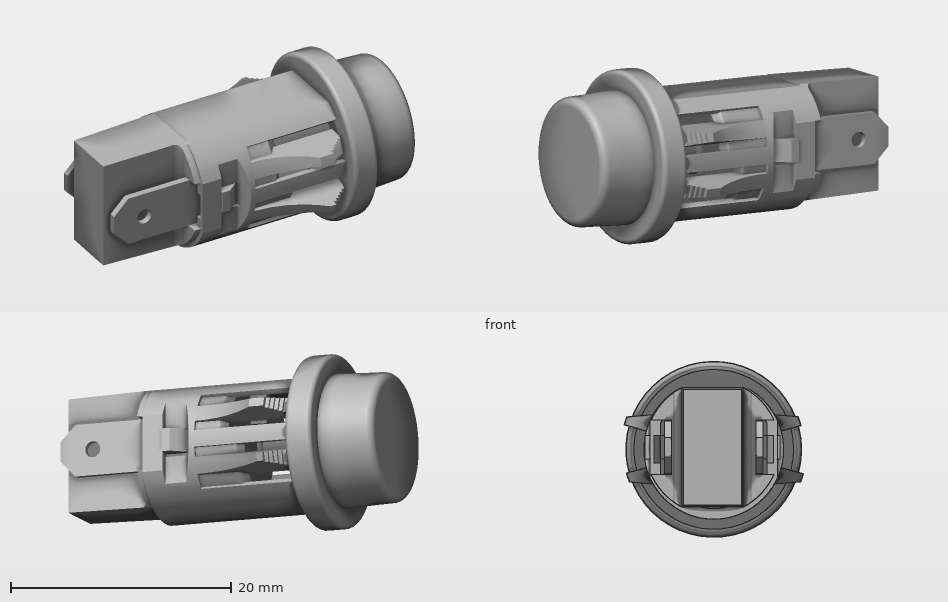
import cadquery as cq
import math


LENGTH = 31.15
TIER_REAR_Y = 7.9
HOUSING_REAR_Y = 8.57
SLOT_REAR_Y = 13.87
FLANGE_REAR_Y = 23.35
LENS_SEAT_Y = 24.62
BEZEL_FRONT_Y = 25.9

HOUSING_R = 6.35
HOUSING_TOP_Z = 5.48
TOP_WALL = 0.53
BORE_TOP_Z = HOUSING_TOP_Z - TOP_WALL
FRONT_BORE_R = 5.83
REAR_BORE_R = 5.4
REAR_BORE_HALF_X = 4.83
REAR_FLAT_X = 5.8
HOUSING_FLANGE_R = 7.25
POCKET_FLOOR_X = 5.15
POCKET_REAR_Y = 10.55
POCKET_FLOOR_END_Y = 12.62
POCKET_FRONT_Y = 13.35
WINDOW_FRONT_Y = 12.78
WINDOW_HALF_Z = 1.25
WINDOW_OUTER_X = 5.45
LEAD_IN_DEPTH = 0.6
LEAD_IN_LENGTH = 0.95

RIB_HALF_Z = 0.78
SLOT_EDGE_Z = 4.35
SLOT_ANGLE = 45.0
FIN_INNER_R = REAR_BORE_R
FIN_SECTION = [(4.05, 3.27), (9.35, 2.85), (9.35, 2.55), (5.2, 1.4), (4.05, 1.03)]
FIN_FRONT_Y = 23.12
STEP_START_Y = 21.28
STEP_RISE = 0.35
FIRST_STEP_RUN = 0.45
STEP_RUN = 0.28
STEP_COUNT = 5
LONG_FIN = {"tip_r": 8.45, "tip_rear_y": 20.7, "mid": (6.98, 17.57)}
SHORT_FIN = {"tip_r": 8.23, "tip_rear_y": 19.85, "mid": (6.9, 17.2)}

BEZEL_R = 16.0 / 2
BEZEL_FILLET = 0.45
LENS_BASE_R = 12.37 / 2
LENS_FACE_R = 5.95
LENS_FILLET = 0.75

BASE_X = -0.11
BASE_Z = 0.2
TIER_R = 6.1
BLOCK_HALF_X = 5.65 / 2
BLOCK_END_HALF_X = 2.65
BLOCK_HALF_Z = 5.42
BLOCK_END_HALF_Z = 5.27
BLOCK_FILLET = 0.7
LOW_STEM_Y = 16.85
HIGH_STEM_Y = 18.4
STEM_CHAMFER = 0.62
KEY_R = 6.05
NOTCH_FLOOR_X = 3.85
NOTCH_HALF_Z = 2.45
NOTCH_FRONT_Y = 13.7
SNAP_HALF_Z = 1.05
SNAP_TIP_X = 6.15
SNAP_TIP_FRONT_Y = 11.35

TERMINAL_THICKNESS = 0.62
TERMINAL_OUTER_X = NOTCH_FLOOR_X + TERMINAL_THICKNESS
TERMINAL_HALF_Z = 2.4
TERMINAL_TIP_CHAMFER = 1.5
TERMINAL_HOLE_R = 1.45 / 2
TERMINAL_HOLE_Y = 3.18

LAMP_R = 1.87
LAMP_FOOT_R = 1.7
LAMP_COLLAR_R = 2.25
LAMP_COLLAR_REAR_R = 2.15
LAMP_SOCKET_R = 2.3
LAMP_COLLAR_REAR_Y = 18.0
LAMP_COLLAR_MID_Y = 18.38
LAMP_COLLAR_FRONT_Y = 18.82

REACH = 9.35
SIDES = (-1, 1)
QUADRANTS = [(sx, sz) for sx in SIDES for sz in SIDES]


def box(x0, x1, y0, y1, z0, z1):
    """Box between two opposite corners, given in any order."""
    size = (abs(x1 - x0), abs(y1 - y0), abs(z1 - z0))
    corner = (min(x0, x1), min(y0, y1), min(z0, z1))
    return cq.Workplane("XY").box(*size, centered=False).translate(corner)


def cylinder_y(radius, y0, y1, x=0.0, z=0.0):
    return cq.Workplane("XZ", origin=(x, y0, z)).circle(radius).extrude(y0 - y1)


def prism_y(points, y0, y1):
    """Prism along Y with an (x, z) outline."""
    return cq.Workplane("XZ", origin=(0, y0, 0)).polyline(points).close().extrude(y0 - y1)


def prism_z(points, z0, z1):
    """Prism along Z with an (x, y) outline."""
    return cq.Workplane("XY", origin=(0, 0, z0)).polyline(points).close().extrude(z1 - z0)


def to_quadrant(shape, side_x, side_z):
    """Mirror a shape made for +X, +Z into another quadrant."""
    if side_x < 0:
        shape = shape.mirror("YZ")
    if side_z < 0:
        shape = shape.mirror("XY")
    return shape


def below_bore_top(shape):
    """Trim a shape to the flat ceiling of the housing bore."""
    return shape.intersect(box(-REACH, REACH, 0, LENGTH, -REACH, BORE_TOP_Z))


def rear_core(y0, y1):
    """Round core with flat sides that fills the rear bore."""
    core = cylinder_y(REAR_BORE_R, y0, y1)
    core = core.intersect(box(-REAR_BORE_HALF_X, REAR_BORE_HALF_X, y0, y1, -REACH, REACH))
    return below_bore_top(core)


def latch_slot():
    edge_x = math.sqrt(HOUSING_R ** 2 - SLOT_EDGE_Z ** 2)
    inner_x = FIN_SECTION[0][0]
    rise = math.tan(math.radians(SLOT_ANGLE))
    outline = [
        (inner_x, RIB_HALF_Z),
        (REACH, RIB_HALF_Z),
        (REACH, SLOT_EDGE_Z + (REACH - edge_x) * rise),
        (inner_x, SLOT_EDGE_Z + (inner_x - edge_x) * rise),
    ]
    return prism_y(outline, SLOT_REAR_Y, FLANGE_REAR_Y)


def latch_fin(tip_r, tip_rear_y, mid):
    """Flared fin with a stepped front edge, cut from a body of revolution."""
    profile = (
        cq.Workplane("XY")
        .moveTo(FIN_INNER_R, SLOT_REAR_Y)
        .lineTo(HOUSING_R, SLOT_REAR_Y)
        .threePointArc(mid, (tip_r, tip_rear_y))
        .lineTo(tip_r, STEP_START_Y)
    )
    for step in range(STEP_COUNT):
        radius = tip_r - FIRST_STEP_RUN - step * STEP_RUN
        y = STEP_START_Y + step * STEP_RISE
        profile = profile.lineTo(radius, y).lineTo(radius, y + STEP_RISE)
    profile = profile.lineTo(HOUSING_R, FIN_FRONT_Y).lineTo(FIN_INNER_R, FIN_FRONT_Y).close()
    turned = profile.revolve(360, (0, 0, 0), (0, 1, 0))
    return turned.intersect(prism_y(FIN_SECTION, SLOT_REAR_Y, FIN_FRONT_Y))


def snap_pocket():
    """Outside cut on the +X side: sloped front, flat floor, and the window through the wall."""
    slope = (HOUSING_R - POCKET_FLOOR_X) / (POCKET_FRONT_Y - POCKET_FLOOR_END_Y)
    end_y = POCKET_FLOOR_END_Y + (REACH - POCKET_FLOOR_X) / slope
    outline = [
        (POCKET_FLOOR_X, POCKET_REAR_Y),
        (REACH, POCKET_REAR_Y),
        (REACH, end_y),
        (POCKET_FLOOR_X, POCKET_FLOOR_END_Y),
    ]
    pocket = prism_z(outline, -REACH, REACH)
    window = box(NOTCH_FLOOR_X, WINDOW_OUTER_X, POCKET_REAR_Y, WINDOW_FRONT_Y,
                 -WINDOW_HALF_Z, WINDOW_HALF_Z)
    return pocket.union(window)


def lead_in():
    """Ramp inside the rear rim that guides a snap tooth in."""
    outline = [
        (REAR_BORE_HALF_X, HOUSING_REAR_Y),
        (REAR_BORE_HALF_X + LEAD_IN_DEPTH, HOUSING_REAR_Y),
        (REAR_BORE_HALF_X, HOUSING_REAR_Y + LEAD_IN_LENGTH),
    ]
    return prism_z(outline, -WINDOW_HALF_Z, WINDOW_HALF_Z)


def make_housing():
    tube = cylinder_y(HOUSING_R, HOUSING_REAR_Y, FLANGE_REAR_Y)
    tube = tube.intersect(box(-REACH, REACH, 0, LENGTH, -REACH, HOUSING_TOP_Z))
    body = tube.union(cylinder_y(HOUSING_FLANGE_R, FLANGE_REAR_Y, LENS_SEAT_Y))
    body = body.cut(below_bore_top(cylinder_y(FRONT_BORE_R, SLOT_REAR_Y, LENS_SEAT_Y)))
    body = body.cut(rear_core(HOUSING_REAR_Y, SLOT_REAR_Y))
    rear_flat = box(REAR_FLAT_X, REACH, HOUSING_REAR_Y, POCKET_REAR_Y, -REACH, REACH)
    for side_x in SIDES:
        for cutter in (rear_flat, snap_pocket(), lead_in()):
            body = body.cut(to_quadrant(cutter, side_x, 1))
    for side_x, side_z in QUADRANTS:
        body = body.cut(to_quadrant(latch_slot(), side_x, side_z))
    for side_x, side_z in QUADRANTS:
        size = LONG_FIN if side_x != side_z else SHORT_FIN
        body = body.union(to_quadrant(latch_fin(**size), side_x, side_z), clean=False)
    return body.clean()


def make_bezel():
    ring = cylinder_y(BEZEL_R, FLANGE_REAR_Y, BEZEL_FRONT_Y).edges().fillet(BEZEL_FILLET)
    ring = ring.cut(cylinder_y(HOUSING_FLANGE_R, FLANGE_REAR_Y, LENS_SEAT_Y))
    return ring.cut(cylinder_y(LENS_BASE_R, LENS_SEAT_Y, BEZEL_FRONT_Y))


def make_lens():
    outline = [
        (0, LENS_SEAT_Y),
        (LENS_BASE_R, LENS_SEAT_Y),
        (LENS_BASE_R, BEZEL_FRONT_Y),
        (LENS_FACE_R, LENGTH),
        (0, LENGTH),
    ]
    lens = cq.Workplane("XY").polyline(outline).close().revolve(360, (0, 0, 0), (0, 1, 0))
    return lens.faces(">Y").edges().fillet(LENS_FILLET)


def rear_block():
    """Tier disc and drafted block behind the housing, joined by concave fillets."""
    outline = (
        cq.Workplane("XY", origin=(BASE_X, 0, -REACH))
        .moveTo(-TIER_R, HOUSING_REAR_Y)
        .lineTo(-TIER_R, TIER_REAR_Y)
        .lineTo(-BLOCK_HALF_X - BLOCK_FILLET, TIER_REAR_Y)
        .radiusArc((-BLOCK_HALF_X, TIER_REAR_Y - BLOCK_FILLET), BLOCK_FILLET)
        .lineTo(-BLOCK_END_HALF_X, 0)
        .lineTo(BLOCK_END_HALF_X, 0)
        .lineTo(BLOCK_HALF_X, TIER_REAR_Y - BLOCK_FILLET)
        .radiusArc((BLOCK_HALF_X + BLOCK_FILLET, TIER_REAR_Y), BLOCK_FILLET)
        .lineTo(TIER_R, TIER_REAR_Y)
        .lineTo(TIER_R, HOUSING_REAR_Y)
        .close()
        .extrude(2 * REACH)
    )
    side_outline = [
        (0, BASE_Z - BLOCK_END_HALF_Z),
        (HOUSING_REAR_Y, BASE_Z - BLOCK_HALF_Z),
        (HOUSING_REAR_Y, BASE_Z + BLOCK_HALF_Z),
        (0, BASE_Z + BLOCK_END_HALF_Z),
    ]
    side_draft = cq.Workplane("YZ").polyline(side_outline).close().extrude(REACH, both=True)
    round_limit = cylinder_y(TIER_R, 0, HOUSING_REAR_Y, BASE_X, BASE_Z)
    return outline.intersect(side_draft).intersect(round_limit)


def front_stem(front_y):
    """Part of the stem inside the front bore, with keys in the slots and a chamfered front edge."""
    wide = cylinder_y(KEY_R, SLOT_REAR_Y, front_y).faces(">Y").edges().chamfer(STEM_CHAMFER)
    stem = below_bore_top(wide.intersect(cylinder_y(FRONT_BORE_R, SLOT_REAR_Y, front_y)))
    for side_x, side_z in QUADRANTS:
        stem = stem.union(wide.intersect(to_quadrant(latch_slot(), side_x, side_z)))
    return stem


def fin_recess():
    """Space that a latch fin takes up beside the stem."""
    ring = cylinder_y(REACH, SLOT_REAR_Y, HIGH_STEM_Y)
    ring = ring.cut(cylinder_y(FIN_INNER_R, SLOT_REAR_Y, HIGH_STEM_Y))
    return ring.intersect(prism_y(FIN_SECTION, SLOT_REAR_Y, HIGH_STEM_Y))


def snap_arm(side_x):
    """Springy arm along the outside of a terminal, with a ramped tooth at its rear end."""
    tip_x = SNAP_TIP_X + side_x * BASE_X
    outline = [
        (TERMINAL_OUTER_X, NOTCH_FRONT_Y),
        (TERMINAL_OUTER_X, POCKET_REAR_Y),
        (tip_x, POCKET_REAR_Y),
        (tip_x, SNAP_TIP_FRONT_Y),
        (REAR_BORE_HALF_X, WINDOW_FRONT_Y),
        (REAR_BORE_HALF_X, NOTCH_FRONT_Y),
    ]
    arm = prism_z(outline, BASE_Z - SNAP_HALF_Z, BASE_Z + SNAP_HALF_Z)
    return to_quadrant(arm, side_x, 1)


def make_base():
    base = rear_block().union(rear_core(HOUSING_REAR_Y, SLOT_REAR_Y)).union(front_stem(LOW_STEM_Y))
    high_stem = front_stem(HIGH_STEM_Y)
    for side_x in SIDES:
        quarter = box(0, side_x * REACH, SLOT_REAR_Y, HIGH_STEM_Y, 0, -side_x * REACH)
        base = base.union(high_stem.intersect(quarter))
    for side_x, side_z in QUADRANTS:
        base = base.cut(to_quadrant(fin_recess(), side_x, side_z))
    for side_x in SIDES:
        notch = box(side_x * NOTCH_FLOOR_X, side_x * REACH, 0, NOTCH_FRONT_Y,
                    BASE_Z - NOTCH_HALF_Z, BASE_Z + NOTCH_HALF_Z)
        base = base.cut(notch).union(snap_arm(side_x))
    return base.cut(cylinder_y(LAMP_SOCKET_R, LOW_STEM_Y, HIGH_STEM_Y))


def make_terminal(side_x):
    inner_x = side_x * NOTCH_FLOOR_X
    outer_x = side_x * TERMINAL_OUTER_X
    blade = box(inner_x, outer_x, 0, NOTCH_FRONT_Y, BASE_Z - TERMINAL_HALF_Z, BASE_Z + TERMINAL_HALF_Z)
    blade = blade.faces("<Y").edges("|X").chamfer(TERMINAL_TIP_CHAMFER)
    hole = cq.Workplane("YZ").center(TERMINAL_HOLE_Y, BASE_Z).circle(TERMINAL_HOLE_R).extrude(outer_x)
    return blade.cut(hole)


def make_lamp():
    """Bulb with a rounded collar and a tapered foot that stands on the stem."""
    profile = (
        cq.Workplane("XY")
        .moveTo(0, LOW_STEM_Y)
        .lineTo(LAMP_FOOT_R, LOW_STEM_Y)
        .lineTo(LAMP_COLLAR_REAR_R, LAMP_COLLAR_REAR_Y)
        .threePointArc((LAMP_COLLAR_R, LAMP_COLLAR_MID_Y), (LAMP_R, LAMP_COLLAR_FRONT_Y))
        .lineTo(LAMP_R, LENS_SEAT_Y)
        .lineTo(0, LENS_SEAT_Y)
        .close()
    )
    return profile.revolve(360, (0, 0, 0), (0, 1, 0))


housing = make_housing()
bezel = make_bezel()
lens = make_lens()
base = make_base()
terminals = [make_terminal(side_x) for side_x in SIDES]
lamp = make_lamp()

bodies = [housing, bezel, lens, base, *terminals, lamp]
result = cq.Compound.makeCompound([body.solids().val() for body in bodies])